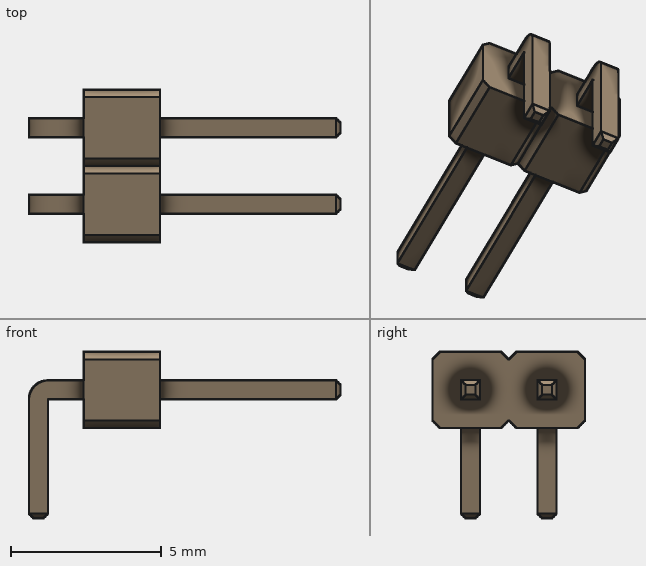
import cadquery as cq

pin_count = 2
pitch = 2.54

block_size = pitch
block_chamfer = 0.254
block_gap = 1.5

pin_width = 0.64
bend_radius = pin_width
tip_chamfer = 0.16
mating_length = 6.0
tail_length = 3.0

pin_axis_z = block_size / 2
leg_back_x = -pin_width / 2
leg_front_x = pin_width / 2
pin_end_x = block_gap + block_size + mating_length
pin_bottom_z = pin_axis_z - pin_width / 2
pin_top_z = pin_axis_z + pin_width / 2


def make_block(y_center):
    """Housing block with its four edges along X chamfered."""
    return (
        cq.Workplane("XY")
        .box(block_size, pitch, block_size)
        .edges("|X")
        .chamfer(block_chamfer)
        .translate((block_gap + block_size / 2, y_center, block_size / 2))
    )


def make_pin(y_center):
    """L-shaped square pin with tapered tips at both ends."""
    profile = (
        cq.Workplane("XZ")
        .moveTo(leg_back_x, -tail_length)
        .lineTo(leg_front_x, -tail_length)
        .lineTo(leg_front_x, pin_bottom_z)
        .lineTo(pin_end_x, pin_bottom_z)
        .lineTo(pin_end_x, pin_top_z)
        .lineTo(leg_back_x + bend_radius, pin_top_z)
        .radiusArc((leg_back_x, pin_top_z - bend_radius), -bend_radius)
        .close()
    )
    pin = profile.extrude(pin_width / 2, both=True)
    pin = pin.faces(">X").chamfer(tip_chamfer)
    pin = pin.faces("<Z").chamfer(tip_chamfer)
    return pin.translate((0, y_center, 0))


result = cq.Workplane("XY")
for index in range(pin_count):
    y_center = -index * pitch
    result = result.union(make_block(y_center)).union(make_pin(y_center))